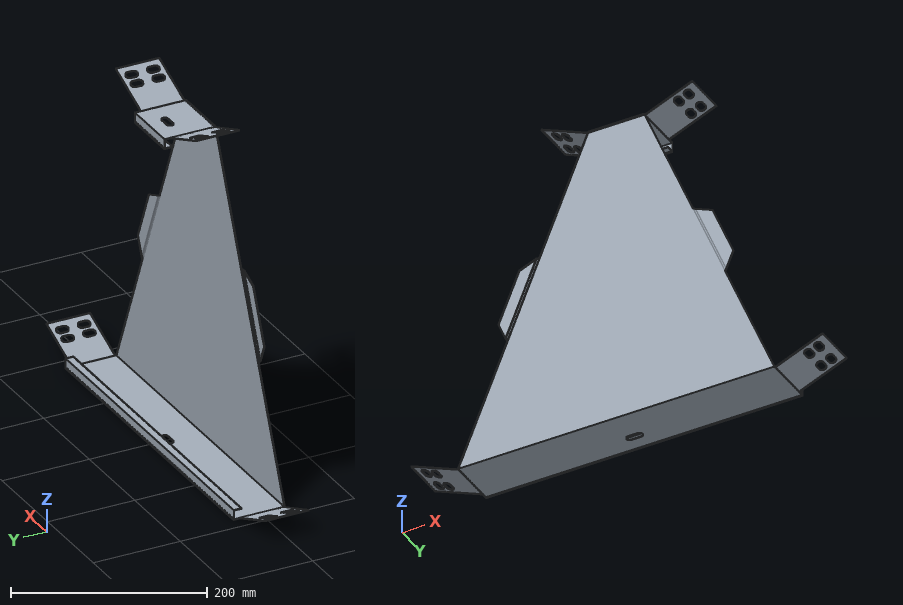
import cadquery as cq
import math

overall_width = 481.0
overall_depth = 61.0
overall_height = 390.5

sheet = 1.0
bend_angle = 22.5
bend = math.radians(bend_angle)

flap_length = 60.0
flap_depth = 50.0
flap_front_gap = 2.0
slot_length = 14.0
slot_width = 8.0
slot_end_distance = 12.0
slot_pitch_along = 12.5
slot_pitch_across = 25.0

wall_slot_length = 18.8
wall_slot_width = 7.0
wall_slot_back_distance = 20.5

lip_height = 11.5
lip_return = 9.0

tab_length = 98.0
tab_width = 17.5
tab_rise = 1.0
joggle_run = 2.0
tab_root = sheet
front_step = 2.0
back_step = 0.5

web_front = 0.0
wall_back = overall_depth - front_step
bottom_half = overall_width / 2 - flap_length * math.cos(bend)
wall_top = overall_height - flap_length * math.sin(bend) + sheet * (1 - math.cos(bend))
top_half = bottom_half - wall_top * math.tan(bend)


def box(x_range, y_range, z_range):
    """Axis-aligned box between the given limits."""
    lows, highs = zip(x_range, y_range, z_range)
    size = [high - low for low, high in zip(lows, highs)]
    return cq.Workplane("XY").box(*size, centered=False).translate(lows)


def mirrored_pair(body):
    """The body together with its mirror image in the middle plane."""
    return body.union(body.mirror("YZ"))


def make_web():
    outline = [
        (-bottom_half, 0),
        (bottom_half, 0),
        (top_half, wall_top),
        (-top_half, wall_top),
    ]
    return cq.Workplane("XZ", origin=(0, web_front, 0)).polyline(outline).close().extrude(-sheet)


def make_wall(half_width, outer_z, inward):
    """End wall with a back lip and a return; inward is +1 or -1 along Z."""

    def z_span(start, end):
        return sorted((outer_z + inward * start, outer_z + inward * end))

    width = (-half_width, half_width)
    floor = box(width, (web_front, wall_back), z_span(0, sheet))
    lip = box(width, (wall_back - sheet, wall_back), z_span(0, lip_height))
    top = box(width, (wall_back - lip_return, wall_back), z_span(lip_height - sheet, lip_height))
    slot = (
        cq.Workplane("XY", origin=(0, wall_back - wall_slot_back_distance, outer_z - sheet))
        .slot2D(wall_slot_length, wall_slot_width)
        .extrude(2 * sheet)
    )
    return floor.union(lip).union(top).cut(slot)


def make_flap(hinge_x, hinge_z):
    """Slotted flap rising outward from the lower edge of an end wall on the +X side."""
    middle_y = web_front + flap_front_gap + flap_depth / 2
    plane = cq.Plane(
        origin=(hinge_x, middle_y, hinge_z),
        xDir=(math.cos(bend), 0, math.sin(bend)),
        normal=(-math.sin(bend), 0, math.cos(bend)),
    )
    flap = cq.Workplane(plane).box(flap_length, flap_depth, sheet, centered=(False, True, False))
    outer_slot = flap_length - slot_end_distance
    slot_centres = [
        (along, across * slot_pitch_across / 2)
        for along in (outer_slot, outer_slot - slot_pitch_along)
        for across in (-1, 1)
    ]
    slots = (
        cq.Workplane(plane)
        .pushPoints(slot_centres)
        .slot2D(slot_length, slot_width, angle=90)
        .extrude(sheet)
    )
    return flap.cut(slots)


def make_tab(step):
    """Tab near the middle of the +X slanted edge, joggled by step along Y."""
    middle_z = wall_top / 2 + tab_rise
    origin = (bottom_half - middle_z * math.tan(bend), web_front, middle_z)
    outward = (math.cos(bend), 0, math.sin(bend))
    along_edge = (-math.sin(bend), 0, math.cos(bend))
    section_plane = cq.Plane(origin=origin, xDir=outward, normal=along_edge)
    section = [
        (-tab_root, 0),
        (0, 0),
        (joggle_run, step),
        (tab_width, step),
        (tab_width, step + sheet),
        (joggle_run, step + sheet),
        (0, sheet),
        (-tab_root, sheet),
    ]
    strip = cq.Workplane(section_plane).polyline(section).close().extrude(tab_length / 2, both=True)

    face_plane = cq.Plane(origin=origin, xDir=outward, normal=(0, -1, 0))
    outline = [
        (-tab_root, -tab_length / 2),
        (0, -tab_length / 2),
        (tab_width, tab_width - tab_length / 2),
        (tab_width, tab_length / 2 - tab_width),
        (0, tab_length / 2),
        (-tab_root, tab_length / 2),
    ]
    trim = cq.Workplane(face_plane).polyline(outline).close().extrude(overall_depth, both=True)
    return strip.intersect(trim)


bottom_wall = make_wall(bottom_half, 0, 1)
top_wall = make_wall(top_half, wall_top, -1)
bottom_flaps = mirrored_pair(make_flap(bottom_half, 0))
top_flaps = mirrored_pair(make_flap(top_half, wall_top - sheet))

front_tab = make_tab(-front_step).mirror("YZ")
back_tab = make_tab(back_step)

result = make_web()
for piece in (bottom_wall, top_wall, bottom_flaps, top_flaps, front_tab, back_tab):
    result = result.union(piece)